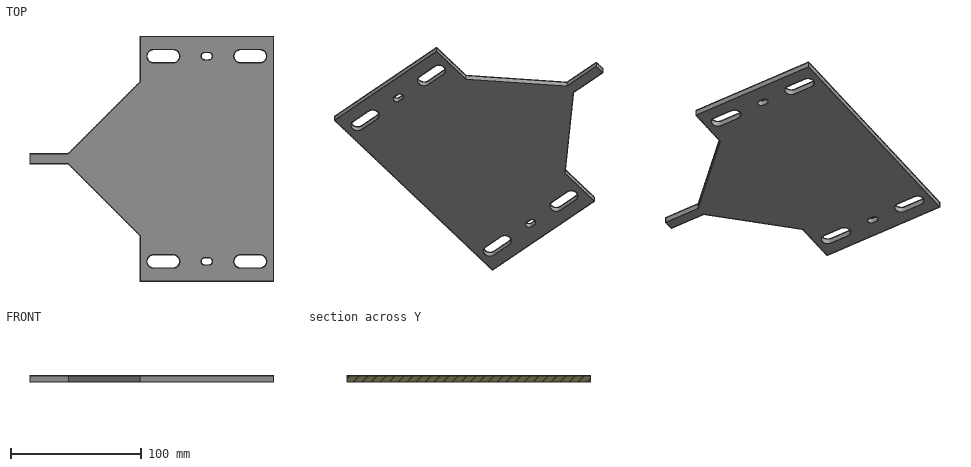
import cadquery as cq

thickness = 5.0
total_length = 186.98
body_width = 188.0

body_length = 102.5
tongue_width = 8.0
taper_base_width = 118.0
taper_length = (taper_base_width - tongue_width) / 2

row_offset_y = 78.75
row_center_from_back = body_length / 2
long_slot_length = 25.0
long_slot_width = 10.0
long_slot_spacing = 66.7
short_slot_length = 8.5
short_slot_width = 5.5

body_front_x = total_length - body_length
taper_front_x = body_front_x - taper_length
row_center_x = total_length - row_center_from_back


def make_plate():
    """Tongue, 45 degree taper and rectangular body as one extruded outline."""
    half_outline = [
        (0, 0),
        (0, tongue_width / 2),
        (taper_front_x, tongue_width / 2),
        (body_front_x, taper_base_width / 2),
        (body_front_x, body_width / 2),
        (total_length, body_width / 2),
        (total_length, 0),
    ]
    return cq.Workplane("XY").polyline(half_outline).mirrorX().extrude(thickness)


def make_long_slots(row_y):
    """Two long rounded slots of one hole row."""
    centers = [(row_center_x + side * long_slot_spacing / 2, row_y) for side in (-1, 1)]
    slots = cq.Workplane("XY").pushPoints(centers)
    return slots.slot2D(long_slot_length, long_slot_width).extrude(thickness)


def make_short_slot(row_y):
    """Short rounded slot, midway between the two long ones."""
    center = cq.Workplane("XY").center(row_center_x, row_y)
    return center.slot2D(short_slot_length, short_slot_width).extrude(thickness)


result = make_plate()
for row_y in (-row_offset_y, row_offset_y):
    result = result.cut(make_long_slots(row_y)).cut(make_short_slot(row_y))